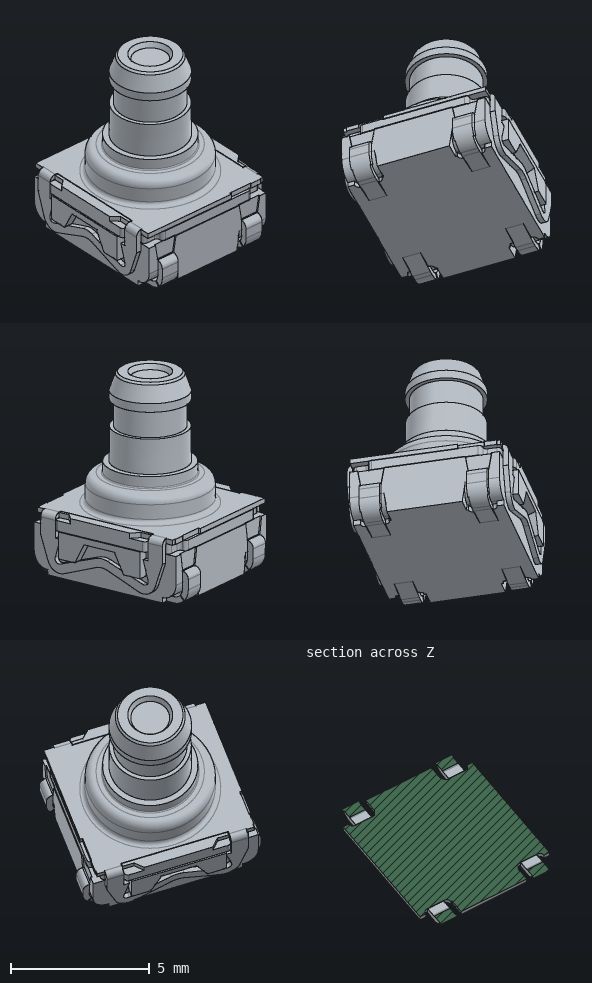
import cadquery as cq
import math

SIDES = (-1, 1)

body_bottom = 0.09
step_z = 2.0
plate_thickness = 0.2
plate_top = 2.6
plate_bottom = plate_top - plate_thickness

body_half_x = 3.15
body_half_y = 2.79

neck_half_x = 3.12
neck_side_half_y = 2.12
corner_half_x = 2.82
corner_half_y = 2.75
tongue_half_x = 2.03
tongue_half_y = 3.09
neck_round = 0.14

tongue_inner_y = 2.67
tongue_top_end_half_x = 1.31
tongue_top_root_half_x = 1.59

catch_half_x = 1.81
catch_half_y = 3.15
catch_bottom = 0.97
notch_bottom_half_x = 1.08
notch_top_half_x = 0.67
notch_top = 1.75
notch_back_top = 1.64

terminal_y = 2.0
terminal_width = 0.76
pad_width = 0.69
terminal_half_x = 3.4
terminal_thickness = 0.25
terminal_bend = 0.66
terminal_top = 1.33
terminal_top_round = 0.28
terminal_root_x = 3.0
pad_flat_end_x = 2.55
pad_end_x = 1.6

relief_round = 0.6
relief_edge_x = body_half_x - relief_round
relief_z = 0.3
relief_top_inner_y = 1.51
relief_bottom_inner_y = 1.4
recess_depth = 0.06
recess_top_half_width = 0.49
pad_clearance_width = 1.06
pad_clearance_depth = 0.18
pad_clearance_round = 0.16

plate_half_x = 3.09
plate_half_y = body_half_y
plate_slot_y = 2.65
edge_step_half_x = 3.0
edge_step_y = 1.2
edge_tab_half_x = 3.03
edge_tab_y = (2.18, 2.65)

clip_outer_y = 3.0
clip_inner_y = clip_outer_y - plate_thickness
clip_bend = 0.25
clip_bend_y = clip_outer_y - clip_bend
clip_bend_z = plate_top - clip_bend
leg_outer_x = 2.7
leg_inner_x = 2.05
leg_straight_end = 1.67
leg_hook_x = 1.84
lobe_outer = (2.186, 0.19)
lobe_inner = (2.149, 0.61)
lobe_outer_round = 0.56
lobe_inner_round = 0.17
peak_lower = 1.02
peak_upper = 1.362
peak_round = 0.75

dome_radius = 2.35
dome_top = 3.75
dome_round = 0.4
dome_foot_round = 0.19
collar_radius = 1.72
collar_top = 4.2
collar_foot_round = 0.04
shank_bottom_radius = 1.49
shank_top_radius = 1.48
shank_top = 5.55
groove_radius = 1.33
barb_radius = 1.49
barb_bottom = 6.58
barb_straight_end = 6.91
stem_top = 7.62
tip_radius = 1.26
tip_round = 0.08
dimple_top_radius = 0.81
dimple_bottom_radius = 0.7
dimple_depth = 0.2


def box_between(x_range, y_range, z_range):
    """Box given by its limits along each axis."""
    size = [high - low for low, high in (x_range, y_range, z_range)]
    corner = (x_range[0], y_range[0], z_range[0])
    return cq.Workplane("XY").box(*size, centered=False).translate(corner)


def centered_box(half_x, half_y, z_low, z_high):
    return box_between((-half_x, half_x), (-half_y, half_y), (z_low, z_high))


def prism_y(outline, y_low, y_high):
    """Prism along Y from points in the XZ plane."""
    return (
        cq.Workplane("XZ", origin=(0, y_high, 0))
        .polyline(outline).close().extrude(y_high - y_low)
    )


def prism_x(outline, x_low, x_high):
    """Prism along X from points in the YZ plane."""
    return (
        cq.Workplane("YZ", origin=(x_low, 0, 0))
        .polyline(outline).close().extrude(x_high - x_low)
    )


def at_both_y(feature):
    return feature.union(feature.mirror("XZ"))


def at_four_corners(feature):
    both = at_both_y(feature)
    return both.union(both.mirror("YZ"))


def base_neck():
    """Upper part of the base: a cross-shaped plan with rounded steps at the corners."""
    quarter = [
        (neck_half_x, neck_side_half_y),
        (corner_half_x, neck_side_half_y),
        (corner_half_x, corner_half_y),
        (tongue_half_x, corner_half_y),
        (tongue_half_x, tongue_half_y),
    ]
    outline = quarter + [(-x, y) for x, y in reversed(quarter)]
    outline += [(-x, -y) for x, y in quarter] + [(x, -y) for x, y in reversed(quarter)]
    return (
        cq.Workplane("XY", origin=(0, 0, step_z))
        .polyline(outline).close().extrude(plate_bottom - step_z)
        .edges("|Z").fillet(neck_round)
    )


def tongue_cap():
    """Raised top of one tongue (+Y), filling the slot in the cover plate."""
    half = [
        (tongue_half_x, tongue_inner_y),
        (tongue_half_x, body_half_y),
        (tongue_top_root_half_x, body_half_y),
        (tongue_top_end_half_x, tongue_half_y),
    ]
    outline = half + [(-x, y) for x, y in reversed(half)]
    return (
        cq.Workplane("XY", origin=(0, 0, plate_bottom))
        .polyline(outline).close().extrude(plate_thickness)
    )


def clip_catch():
    """Catch on the +Y face with a trapezoid notch under a sloping ceiling."""
    catch = box_between(
        (-catch_half_x, catch_half_x), (body_half_y, catch_half_y), (catch_bottom, step_z)
    )
    notch = prism_y(
        [
            (-notch_bottom_half_x, catch_bottom),
            (-notch_top_half_x, notch_top),
            (notch_top_half_x, notch_top),
            (notch_bottom_half_x, catch_bottom),
        ],
        body_half_y, catch_half_y,
    )
    below_ceiling = prism_x(
        [
            (body_half_y, catch_bottom),
            (body_half_y, notch_back_top),
            (catch_half_y, notch_top),
            (catch_half_y, catch_bottom),
        ],
        -notch_bottom_half_x, notch_bottom_half_x,
    )
    return catch.cut(notch.intersect(below_ceiling))


def terminal_relief():
    """Rounded undercut of one bottom corner (+X, +Y), with a slanted inner end wall."""
    round_z = relief_z + relief_round
    diagonal = relief_round * math.sqrt(0.5)
    undercut = (
        cq.Workplane("XZ", origin=(0, body_half_y, 0))
        .moveTo(relief_edge_x, 0)
        .lineTo(relief_edge_x, relief_z)
        .threePointArc((relief_edge_x + diagonal, round_z - diagonal), (body_half_x, round_z))
        .lineTo(body_half_x, 0)
        .close()
        .extrude(body_half_y - relief_bottom_inner_y)
    )
    span = prism_x(
        [
            (relief_bottom_inner_y, body_bottom),
            (relief_top_inner_y, round_z),
            (body_half_y, round_z),
            (body_half_y, body_bottom),
        ],
        relief_edge_x, body_half_x,
    )
    return undercut.intersect(span)


def pad_clearance():
    """Round-cornered notch in the wall behind one relief, where the solder pad passes."""
    half = pad_clearance_width / 2
    return box_between(
        (relief_edge_x - pad_clearance_depth, relief_edge_x + pad_clearance_depth),
        (terminal_y - half, terminal_y + half),
        (body_bottom, relief_z),
    ).edges("|Z and <X").fillet(pad_clearance_round)


def terminal_recess():
    """Shallow tapered recess in the side face above one terminal."""
    half = terminal_width / 2
    return prism_x(
        [
            (terminal_y - half, terminal_top),
            (terminal_y + half, terminal_top),
            (terminal_y + recess_top_half_width, step_z),
            (terminal_y - recess_top_half_width, step_z),
        ],
        body_half_x - recess_depth, body_half_x,
    )


def terminal():
    """One bent terminal (+X, +Y): a side strip curling under the base into a solder pad."""
    bend_x = terminal_half_x - terminal_bend
    inner_bend = terminal_bend - terminal_thickness
    outer_diagonal = terminal_bend * math.sqrt(0.5)
    inner_diagonal = inner_bend * math.sqrt(0.5)
    top_diagonal = terminal_top_round * math.sqrt(0.5)
    top_center_x = terminal_half_x - terminal_top_round
    top_center_z = terminal_top - terminal_top_round

    def strip_of_width(width):
        profile = cq.Workplane("XZ", origin=(0, terminal_y + width / 2, 0))
        return (
            profile
            .moveTo(terminal_root_x, terminal_top)
            .lineTo(top_center_x, terminal_top)
            .threePointArc(
                (top_center_x + top_diagonal, top_center_z + top_diagonal),
                (terminal_half_x, top_center_z),
            )
            .lineTo(terminal_half_x, terminal_bend)
            .threePointArc(
                (bend_x + outer_diagonal, terminal_bend - outer_diagonal), (bend_x, 0)
            )
            .lineTo(pad_flat_end_x, 0)
            .lineTo(pad_end_x, body_bottom)
            .lineTo(pad_end_x, terminal_thickness)
            .lineTo(bend_x, terminal_thickness)
            .threePointArc(
                (bend_x + inner_diagonal, terminal_bend - inner_diagonal),
                (bend_x + inner_bend, terminal_bend),
            )
            .lineTo(bend_x + inner_bend, relief_z + relief_round)
            .lineTo(terminal_root_x, relief_z + relief_round)
            .close()
            .extrude(width)
        )

    reach = terminal_half_x - bend_x
    pad_zone = prism_y(
        [
            (bend_x, terminal_bend),
            (bend_x + reach, terminal_bend - reach),
            (pad_end_x, terminal_bend - reach),
            (pad_end_x, terminal_bend),
        ],
        0, body_half_y,
    )
    strip = strip_of_width(terminal_width).cut(pad_zone)
    pad = strip_of_width(pad_width).intersect(pad_zone)
    return strip.union(pad)


def make_base(cover):
    body = centered_box(body_half_x, body_half_y, body_bottom, step_z)
    body = body.cut(at_four_corners(terminal_relief()))
    body = body.cut(at_four_corners(pad_clearance()))
    body = body.cut(at_four_corners(terminal_recess()))
    body = body.union(base_neck())
    body = body.union(at_both_y(tongue_cap()))
    body = body.union(at_both_y(clip_catch()))
    body = body.union(at_four_corners(terminal()))
    return body.cut(cover)


def cover_plate():
    plate = centered_box(plate_half_x, plate_half_y, plate_bottom, plate_top)
    for side in SIDES:
        x_edge = sorted((side * edge_step_half_x, side * plate_half_x))
        x_tab = sorted((side * edge_step_half_x, side * edge_tab_half_x))
        y_slot = sorted((side * plate_slot_y, side * plate_half_y))
        plate = plate.cut(
            box_between(x_edge, (edge_step_y, plate_half_y), (plate_bottom, plate_top))
        )
        plate = plate.union(box_between(x_tab, edge_tab_y, (plate_bottom, plate_top)))
        plate = plate.cut(
            box_between((-leg_inner_x, leg_inner_x), y_slot, (plate_bottom, plate_top))
        )
    return plate


def clip():
    """Spring clip on the +Y side: two legs bent down from the plate, joined by a bow."""
    left = [
        (-leg_inner_x, plate_top),
        (-leg_outer_x, plate_top),
        (-leg_outer_x, leg_straight_end),
        (-lobe_outer[0], lobe_outer[1]),
    ]
    left_inside = [
        (-lobe_inner[0], lobe_inner[1]),
        (-leg_hook_x, leg_straight_end),
        (-leg_inner_x, leg_straight_end),
    ]
    outline = left + [(0, peak_lower)] + [(-x, z) for x, z in reversed(left)]
    outline += [(-x, z) for x, z in reversed(left_inside)] + [(0, peak_upper)] + left_inside
    bow = prism_y(outline, clip_inner_y, clip_outer_y)

    middle_y = (clip_inner_y + clip_outer_y) / 2
    rounds = [(0, peak_lower, peak_round), (0, peak_upper, peak_round)]
    for side in SIDES:
        rounds.append((side * lobe_outer[0], lobe_outer[1], lobe_outer_round))
        rounds.append((side * lobe_inner[0], lobe_inner[1], lobe_inner_round))
    for x, z, radius in rounds:
        corner = cq.selectors.NearestToPointSelector((x, middle_y, z))
        bow = bow.edges("|Y").edges(corner).fillet(radius)

    square_tops = box_between(
        (-leg_outer_x, leg_outer_x), (clip_inner_y, clip_outer_y), (clip_bend_z, plate_top)
    )
    bow = bow.cut(square_tops)
    for side in SIDES:
        x_low, x_high = sorted((side * leg_inner_x, side * leg_outer_x))
        ring = (
            cq.Workplane("YZ", origin=(x_low, clip_bend_y, clip_bend_z))
            .circle(clip_bend).circle(clip_bend - plate_thickness).extrude(x_high - x_low)
        )
        bend = ring.intersect(
            box_between((x_low, x_high), (clip_bend_y, clip_outer_y), (clip_bend_z, plate_top))
        )
        bow = bow.union(bend)
    return bow


def bend_clearance():
    """Strip of the plate edge that the bends of one clip (+Y) replace."""
    return box_between(
        (-leg_outer_x, leg_outer_x), (clip_bend_y, plate_half_y), (plate_bottom, plate_top)
    )


def dome_and_stem():
    """Turned shape on the plate: dome, collar and barbed stem with a dimple in its tip."""
    diagonal = math.sqrt(0.5)
    foot_center = (dome_radius + dome_foot_round, plate_top + dome_foot_round)
    round_center = (dome_radius - dome_round, dome_top - dome_round)
    collar_center = (collar_radius + collar_foot_round, dome_top + collar_foot_round)
    tip_flat_radius = tip_radius - tip_round
    profile = (
        cq.Workplane("XZ")
        .moveTo(0, plate_bottom)
        .lineTo(foot_center[0], plate_bottom)
        .lineTo(foot_center[0], plate_top)
        .threePointArc(
            (
                foot_center[0] - dome_foot_round * diagonal,
                foot_center[1] - dome_foot_round * diagonal,
            ),
            (dome_radius, foot_center[1]),
        )
        .lineTo(dome_radius, round_center[1])
        .threePointArc(
            (round_center[0] + dome_round * diagonal, round_center[1] + dome_round * diagonal),
            (round_center[0], dome_top),
        )
        .lineTo(collar_center[0], dome_top)
        .threePointArc(
            (
                collar_center[0] - collar_foot_round * diagonal,
                collar_center[1] - collar_foot_round * diagonal,
            ),
            (collar_radius, collar_center[1]),
        )
        .lineTo(collar_radius, collar_top)
        .lineTo(shank_bottom_radius, collar_top)
        .lineTo(shank_top_radius, shank_top)
        .lineTo(groove_radius, shank_top)
        .lineTo(groove_radius, barb_bottom)
        .lineTo(barb_radius, barb_bottom)
        .lineTo(barb_radius, barb_straight_end)
        .lineTo(tip_radius, stem_top - tip_round)
        .lineTo(tip_flat_radius, stem_top)
        .lineTo(dimple_top_radius, stem_top)
        .lineTo(dimple_bottom_radius, stem_top - dimple_depth)
        .lineTo(0, stem_top - dimple_depth)
        .close()
    )
    return profile.revolve(360, (0, 0, 0), (0, 1, 0))


def make_cover():
    plate = cover_plate().cut(at_both_y(bend_clearance()))
    return plate.union(at_both_y(clip())).union(dome_and_stem())


cover = make_cover()
base = make_base(cover)

result = cq.Compound.makeCompound([base.val(), cover.val()])